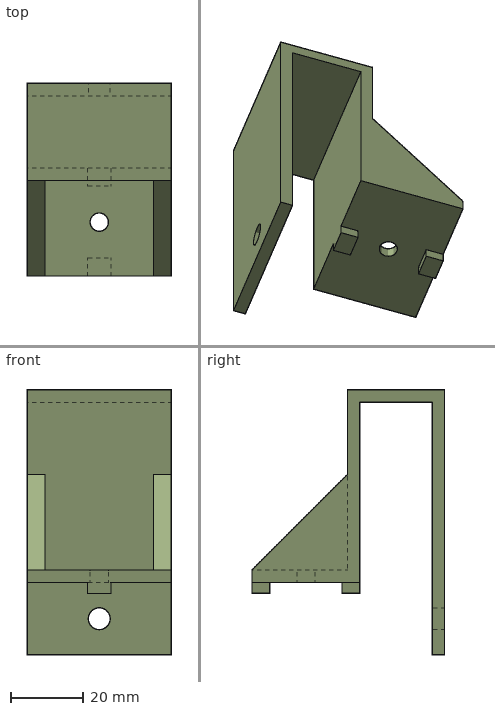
import cadquery as cq

width = 40.0
wall = 3.5
channel_gap = 20.0
total_height = 73.5
shelf_bottom = 20.0
shelf_length = 30.0
gusset_thickness = 5.0
key_width = 6.5
key_length = 5.0
key_height = 3.0
shelf_hole_diameter = 5.0
back_hole_diameter = 6.0
back_hole_height = 10.0

front_plate_inner = shelf_length
front_plate_outer = front_plate_inner - wall
back_plate_inner = front_plate_inner + channel_gap
back_plate_outer = back_plate_inner + wall
shelf_top = shelf_bottom + wall
gusset_top = shelf_top + front_plate_outer


def extrude_profile(points, x_start, length):
    """Extrude a closed (Y, Z) outline along +X from x_start."""
    return cq.Workplane("YZ", origin=(x_start, 0, 0)).polyline(points).close().extrude(length)


def make_bracket():
    """Hooked bracket: back plate, top plate, front plate and shelf in one profile."""
    outline = [
        (back_plate_outer, 0),
        (back_plate_outer, total_height),
        (front_plate_outer, total_height),
        (front_plate_outer, shelf_top),
        (0, shelf_top),
        (0, shelf_bottom),
        (front_plate_inner, shelf_bottom),
        (front_plate_inner, total_height - wall),
        (back_plate_inner, total_height - wall),
        (back_plate_inner, 0),
    ]
    return extrude_profile(outline, -width / 2, width)


def make_gusset(x_start):
    """Triangular side rib between the shelf and the front plate."""
    outline = [
        (0, shelf_top),
        (front_plate_outer, shelf_top),
        (front_plate_outer, gusset_top),
    ]
    return extrude_profile(outline, x_start, gusset_thickness)


def make_key(y_start):
    """Rectangular locating key hanging below the shelf."""
    key = cq.Workplane("XY").box(key_width, key_length, key_height, centered=(True, False, False))
    return key.translate((0, y_start, shelf_bottom - key_height))


def make_shelf_hole():
    """Vertical hole through the middle of the shelf."""
    plane = cq.Workplane("XY", origin=(0, shelf_length / 2, shelf_bottom))
    return plane.circle(shelf_hole_diameter / 2).extrude(wall)


def make_back_hole():
    """Hole along Y through the lower end of the back plate."""
    plane = cq.Workplane("XZ", origin=(0, back_plate_outer, back_hole_height))
    return plane.circle(back_hole_diameter / 2).extrude(wall)


result = make_bracket()
for gusset_start in (-width / 2, width / 2 - gusset_thickness):
    result = result.union(make_gusset(gusset_start))
for key_start in (0, shelf_length - key_length):
    result = result.union(make_key(key_start))
result = result.cut(make_shelf_hole()).cut(make_back_hole())